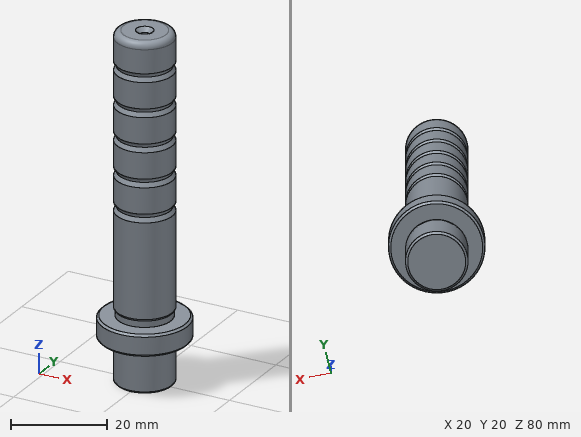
import cadquery as cq
import math

total_length = 80.0
shaft_radius = 13.0 / 2
flange_radius = 20.0 / 2

pilot_top = 9.0
flange_bottom = 10.0
flange_top = 15.0
shaft_bottom = 16.5

edge_chamfer = 0.5
pilot_top_chamfer = 0.2
top_fillet = 1.5
lower_neck_radius = 6.0
upper_neck_radius = 6.2
shaft_chamfer_height = 0.5

groove_count = 5
groove_pitch = 8.0
groove_width = 2.0
groove_depth = 0.6
groove_arc_radius = ((groove_width / 2) ** 2 + groove_depth**2) / (2 * groove_depth)

countersink_radius = 1.9
pilot_hole_radius = 1.0
countersink_half_angle = 45.0
pilot_hole_length = 2.0
drill_tip_half_angle = 59.0


def revolve_profile(outline):
    """Close and revolve a radius/height outline about the Z axis."""
    return outline.close().revolve(360, (0, 0, 0), (0, 1, 0))


def pin_body():
    """Pilot, flange and shaft as one turned body."""
    outline = (
        cq.Workplane("XZ")
        .moveTo(0, 0)
        .lineTo(shaft_radius - edge_chamfer, 0)
        .lineTo(shaft_radius, edge_chamfer)
        .lineTo(shaft_radius, pilot_top - pilot_top_chamfer)
        .lineTo(shaft_radius - pilot_top_chamfer, pilot_top)
        .lineTo(lower_neck_radius, pilot_top)
        .lineTo(lower_neck_radius, flange_bottom)
        .lineTo(flange_radius - edge_chamfer, flange_bottom)
        .lineTo(flange_radius, flange_bottom + edge_chamfer)
        .lineTo(flange_radius, flange_top - edge_chamfer)
        .lineTo(flange_radius - edge_chamfer, flange_top)
        .lineTo(upper_neck_radius, flange_top)
        .lineTo(upper_neck_radius, shaft_bottom)
        .lineTo(shaft_radius, shaft_bottom + shaft_chamfer_height)
        .lineTo(shaft_radius, total_length - top_fillet)
        .radiusArc((shaft_radius - top_fillet, total_length), -top_fillet)
        .lineTo(0, total_length)
    )
    return revolve_profile(outline)


def groove(center_height):
    """Ring cutter: rounded upper flank and straight conical lower flank."""
    floor_radius = shaft_radius - groove_depth
    half_width = groove_width / 2
    outline = (
        cq.Workplane("XZ")
        .moveTo(shaft_radius, center_height - half_width)
        .lineTo(floor_radius, center_height)
        .radiusArc((shaft_radius, center_height + half_width), groove_arc_radius)
    )
    return revolve_profile(outline)


def center_hole():
    """Countersink, short cylindrical hole and conical drill tip."""
    countersink_depth = (countersink_radius - pilot_hole_radius) / math.tan(
        math.radians(countersink_half_angle)
    )
    tip_depth = pilot_hole_radius / math.tan(math.radians(drill_tip_half_angle))
    countersink_floor = total_length - countersink_depth
    hole_floor = countersink_floor - pilot_hole_length
    outline = (
        cq.Workplane("XZ")
        .moveTo(0, total_length)
        .lineTo(countersink_radius, total_length)
        .lineTo(pilot_hole_radius, countersink_floor)
        .lineTo(pilot_hole_radius, hole_floor)
        .lineTo(0, hole_floor - tip_depth)
    )
    return revolve_profile(outline)


result = pin_body().cut(center_hole())
for groove_number in range(1, groove_count + 1):
    result = result.cut(groove(total_length - groove_number * groove_pitch))